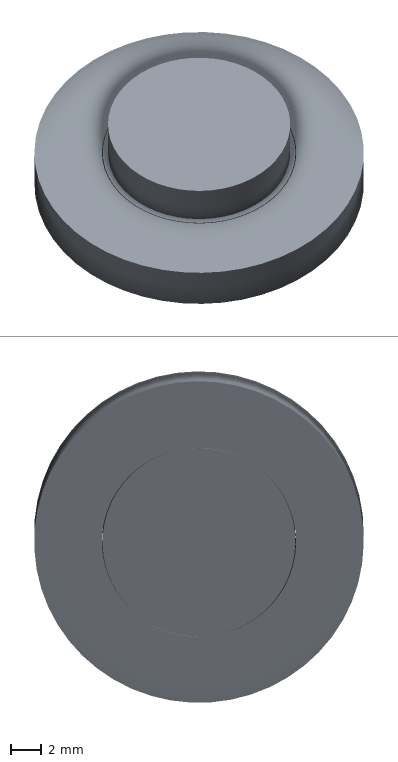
import cadquery as cq

ring_diameter = 21.7
ring_height = 3.0
bore_diameter = 12.8

total_height = 5.7
collar_diameter = 12.7
collar_height = ring_height
cap_diameter = 12.0


def make_ring():
    """Washer standing on the XY plane, centred on the Z axis."""
    return (
        cq.Workplane("XY")
        .circle(ring_diameter / 2)
        .circle(bore_diameter / 2)
        .extrude(ring_height)
    )


def make_button():
    """Collar inside the bore, with a narrower cap rising above the ring."""
    collar = cq.Workplane("XY").circle(collar_diameter / 2).extrude(collar_height)
    cap = cq.Workplane("XY").circle(cap_diameter / 2).extrude(total_height)
    return collar.union(cap)


ring = make_ring()
button = make_button()

result = cq.Compound.makeCompound([ring.val(), button.val()])